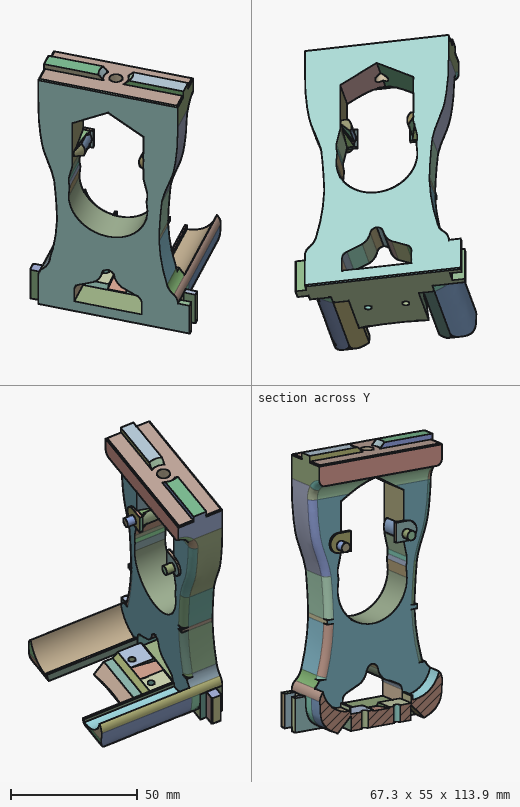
import cadquery as cq
import math

half_width = 29.0
total_height = 113.89
rail_height = 2.3
head_top = total_height - rail_height
plate_depth = 14.0
head_depth = 20.0
arm_end = 55.01
edge_chamfer = 0.5

throat_low = 95.7
throat_radius = 7.0
throat_centre_y = plate_depth + throat_radius

rear_round = 2.8
round_start = 21.0
select_margin = 0.1
band_low = 43.4
band_high = 45.2
waist_half = 21.25
waist_top_slope = 0.18
upper_flank_top = 101.6

shoulder_x = 27.3
shoulder_z = 18.2
shoulder_base = 14.5

upper_apex = 101.75
upper_eave = 93.2
upper_half = 14.75
upper_jamb_end = 72.3
bowl_radius = 16.35
bowl_centre = 56.9
lower_floor = 5.27
lower_half = 14.0

rail_width = 5.8
rail_y = 10.2
cone_base_radius = 5.0
cone_top_radius = 6.9
hole_diameter = 5.2

foot_depth = 10.0
foot_height = 14.0
tongue_height = 14.2
tongue_chamfer = 0.4
left_tongue_end = -33.45
right_tongue_end = 33.85
left_tongue = (3.0, 7.3)
right_tongues = ((0.0, 2.6), (7.6, 10.0))

arm_inner = 14.1
flank_middle = (25.9, 3.07)
flank_start_slope = 0.4
keel_x = 20.4
arm_inner_base = 6.3
arm_nose_radius = 10.0
lip_thickness = 0.9
lip_top = 10.2
trough_edge = 8.5

bridge_top = 7.2
bridge_front = 11.2
bridge_front_top = 12.5
bridge_step_start = 23.0
bridge_step_end = 25.3
bridge_step_top = 4.9
bridge_ramp_start = 29.3
bridge_back_corner = 33.9
bridge_back_middle = 33.1
slot_half = 3.75
slot_low = 5.5
bridge_hole_diameter = 2.8
bridge_hole_x = 7.6
bridge_hole_y = 20.2

clip_x = 16.2
clip_z = 76.4
clip_radius = 5.0
clip_upper_angle = 135.0
clip_lower_angle = 206.0
rib_inner = 11.5
pad_inner = 10.6
pad_half_height = 4.1
pad_front = 13.5
pad_back = 14.9
pin_diameter = 3.9
pin_x = 15.5
pin_z = 75.35
pin_end = 18.6


def block(x0, x1, y0, y1, z0, z1):
    """Axis-aligned box between two opposite corners."""
    return cq.Workplane("XY").box(x1 - x0, y1 - y0, z1 - z0, centered=False).translate((x0, y0, z0))


def both_sides(right_half):
    """Join a shape with its mirror image across the YZ plane."""
    return right_half.union(right_half.mirror("YZ"))


def flank(sketch):
    """Carry an outline along the underside and up the rounded flank to the shoulder."""
    shoulder_run = half_width - shoulder_x
    shoulder_rise = shoulder_z - shoulder_base
    shoulder_radius = (shoulder_run**2 + shoulder_rise**2) / (2 * shoulder_run)
    return (
        sketch.lineTo(keel_x, 0)
        .spline(
            [flank_middle, (half_width, shoulder_base)],
            tangents=[(1, flank_start_slope), (0, 1)],
            includeCurrent=True,
        )
        .radiusArc((shoulder_x, shoulder_z), -shoulder_radius)
    )


def frame_blank():
    """Waisted front outline crossed with the L-shaped side profile."""
    outline = (
        flank(cq.Workplane("XZ").moveTo(0, 0))
        .threePointArc((25.7, 19.9), (24.5, 22.5))
        .threePointArc((22.4, 32.0), (waist_half, band_low))
        .lineTo(waist_half, band_high)
        .threePointArc((21.65, 54.0), (22.4, 63.0))
        .spline(
            [(24.0, 69.0), (26.7, 76.7), (28.3, 86.0), (half_width, upper_flank_top)],
            tangents=[(waist_top_slope, 1), (0, 1)],
            includeCurrent=True,
        )
        .lineTo(half_width, head_top)
        .lineTo(0, head_top)
        .close()
        .extrude(-head_depth)
    )
    throat_reach = head_depth - throat_centre_y
    throat_top = throat_low + math.sqrt(throat_radius**2 - throat_reach**2)
    side = (
        cq.Workplane("YZ")
        .moveTo(0, 0)
        .lineTo(plate_depth, 0)
        .lineTo(plate_depth, throat_low)
        .radiusArc((head_depth, throat_top), throat_radius)
        .lineTo(head_depth, head_top)
        .lineTo(0, head_top)
        .close()
        .extrude(half_width, both=True)
    )
    return both_sides(outline).intersect(side)


def frame():
    """Frame with rounded outer rear edges and a chamfered top."""
    blank = frame_blank()
    rear_edges = cq.selectors.BoxSelector(
        (-half_width - select_margin, plate_depth - select_margin, round_start),
        (half_width + select_margin, head_depth - select_margin, head_top),
    )
    rounded = blank.edges(rear_edges).edges("not(|X)").fillet(rear_round)
    rounded = rounded.faces(">Z").chamfer(edge_chamfer)
    for low, high in ((0, round_start), (band_low, band_high)):
        band = block(-half_width, half_width, 0, plate_depth, low, high)
        rounded = rounded.union(blank.intersect(band))
    return rounded


def upper_window():
    """Gabled opening that ends in a round bowl."""
    half = (
        cq.Workplane("XZ")
        .moveTo(0, upper_apex)
        .lineTo(upper_half, upper_eave)
        .lineTo(upper_half, upper_jamb_end)
        .lineTo(16.3, 65.5)
        .lineTo(16.3, 63.5)
        .lineTo(15.95, 61.5)
        .lineTo(bowl_radius, bowl_centre)
        .radiusArc((0, bowl_centre - bowl_radius), bowl_radius)
        .close()
        .extrude(-head_depth)
    )
    return both_sides(half)


def lower_window():
    """Bell-shaped opening above the foot."""
    half = (
        cq.Workplane("XZ")
        .moveTo(0, 24.0)
        .threePointArc((1.75, 23.2), (2.65, 21.5))
        .threePointArc((3.7, 18.9), (5.9, 16.7))
        .lineTo(12.0, 13.95)
        .threePointArc((13.4, 12.9), (lower_half, 11.2))
        .lineTo(lower_half, lower_floor)
        .lineTo(0, lower_floor)
        .close()
        .extrude(-plate_depth)
    )
    return both_sides(half)


def rail():
    """Top rail, parted in the middle by a conical gap."""
    bar = block(
        -half_width, half_width,
        rail_y - rail_width / 2, rail_y + rail_width / 2,
        head_top - edge_chamfer, total_height,
    )
    gap = (
        cq.Workplane("XY", origin=(0, rail_y, head_top))
        .circle(cone_base_radius)
        .workplane(offset=rail_height)
        .circle(cone_top_radius)
        .loft()
    )
    return bar.cut(gap)


def rail_hole():
    """Vertical hole from the head top into the upper window."""
    return (
        cq.Workplane("XY", origin=(0, rail_y, head_top))
        .circle(hole_diameter / 2)
        .extrude(upper_eave - head_top)
    )


def foot():
    """Square foot block with its side tongues."""
    base = block(-half_width, half_width, 0, foot_depth, 0, foot_height)
    left = block(left_tongue_end, -half_width, *left_tongue, 0, tongue_height)
    base = base.union(left.edges("|Z and <X").chamfer(tongue_chamfer))
    for y0, y1 in right_tongues:
        base = base.union(block(half_width, right_tongue_end, y0, y1, 0, tongue_height))
    return base


def front_lower_corner():
    """Wedge removed along the front lower edge."""
    return (
        cq.Workplane("YZ")
        .polyline([(0, 0), (edge_chamfer, 0), (0, edge_chamfer)])
        .close()
        .extrude(2 * half_width, both=True)
    )


def arms():
    """Two trough-shaped arms with a rounded lower nose."""
    lip_inner = arm_inner + lip_thickness
    trough_width = shoulder_x - lip_inner
    trough_rise = shoulder_z - trough_edge
    trough_radius = (trough_width**2 + trough_rise**2) / (2 * trough_rise)
    section_plane = cq.Workplane("XZ", origin=(0, foot_depth, 0))
    section = (
        flank(section_plane.moveTo(arm_inner, arm_inner_base))
        .radiusArc((lip_inner, trough_edge), trough_radius)
        .lineTo(lip_inner, lip_top)
        .lineTo(arm_inner, lip_top)
        .close()
        .extrude(foot_depth - arm_end)
    )
    profile = (
        block(-half_width, half_width, foot_depth, arm_end, 0, shoulder_z)
        .edges("|X and >Y and <Z")
        .fillet(arm_nose_radius)
    )
    return both_sides(section).intersect(profile)


def bridge():
    """Stepped floor between the arms, with a ramped slot and two holes."""
    steps = (
        cq.Workplane("YZ")
        .moveTo(bridge_front, 0)
        .lineTo(bridge_front, lower_floor)
        .lineTo(bridge_front_top, bridge_top)
        .lineTo(bridge_step_start, bridge_top)
        .lineTo(bridge_step_end, bridge_step_top)
        .lineTo(bridge_ramp_start, bridge_step_top)
        .lineTo(bridge_back_corner, 0)
        .close()
        .extrude(arm_inner, both=True)
    )
    plan = (
        cq.Workplane("XY")
        .moveTo(-arm_inner, bridge_front)
        .lineTo(arm_inner, bridge_front)
        .lineTo(arm_inner, bridge_back_corner)
        .threePointArc((0, bridge_back_middle), (-arm_inner, bridge_back_corner))
        .close()
        .extrude(bridge_top)
    )
    slot = (
        cq.Workplane("YZ")
        .polyline([(bridge_front, slot_low), (bridge_step_start, bridge_top), (bridge_front, bridge_top)])
        .close()
        .extrude(slot_half, both=True)
    )
    holes = (
        cq.Workplane("XY")
        .pushPoints([(-bridge_hole_x, bridge_hole_y), (bridge_hole_x, bridge_hole_y)])
        .circle(bridge_hole_diameter / 2)
        .extrude(bridge_top)
    )
    return steps.intersect(plan).cut(slot).cut(holes)


def clip_rim(angle):
    """Point on the clip circle, as X and Z, at an angle from +X in degrees."""
    turn = math.radians(angle)
    return clip_x + clip_radius * math.cos(turn), clip_z + clip_radius * math.sin(turn)


def clips():
    """Pyramid ribs with a pointed pie-slice core on the jambs, each with a pad and a pin."""
    rim_middle = (clip_upper_angle + clip_lower_angle) / 2
    slice_prism = (
        cq.Workplane("XZ")
        .moveTo(clip_x, clip_z)
        .lineTo(*clip_rim(clip_upper_angle))
        .threePointArc(clip_rim(rim_middle), clip_rim(clip_lower_angle))
        .close()
        .extrude(-plate_depth)
    )
    pencil = (
        cq.Workplane("XY")
        .moveTo(0, 0)
        .lineTo(clip_radius, clip_radius)
        .lineTo(clip_radius, plate_depth)
        .lineTo(0, plate_depth)
        .close()
        .revolve(360, (0, 0), (0, 1))
        .translate((clip_x, 0, clip_z))
    )
    rib_plan = (
        cq.Workplane("XY")
        .polyline([(clip_x, 0), (rib_inner, plate_depth), (clip_x, plate_depth)])
        .close()
        .extrude(upper_apex)
    )
    rib_side = (
        cq.Workplane("YZ")
        .polyline([
            (0, clip_z),
            (plate_depth, clip_z + pad_half_height),
            (plate_depth, clip_z - pad_half_height),
        ])
        .close()
        .extrude(half_width)
    )
    pad = block(
        pad_inner, clip_x, pad_front, pad_back,
        clip_z - pad_half_height, clip_z + pad_half_height,
    )
    pad_end = cq.Workplane("XZ", origin=(clip_x, plate_depth, clip_z)).circle(pad_half_height)
    pin = cq.Workplane("XZ", origin=(pin_x, plate_depth, pin_z)).circle(pin_diameter / 2)
    clip = (
        slice_prism.intersect(pencil)
        .union(rib_plan.intersect(rib_side))
        .union(pad)
        .union(pad_end.extrude(plate_depth - pad_back))
        .union(pin.extrude(plate_depth - pin_end))
    )
    return both_sides(clip)


body = frame().union(foot()).cut(upper_window()).cut(lower_window())
body = body.union(rail()).cut(rail_hole())
body = body.union(arms()).union(bridge()).union(clips())
result = body.cut(front_lower_corner())